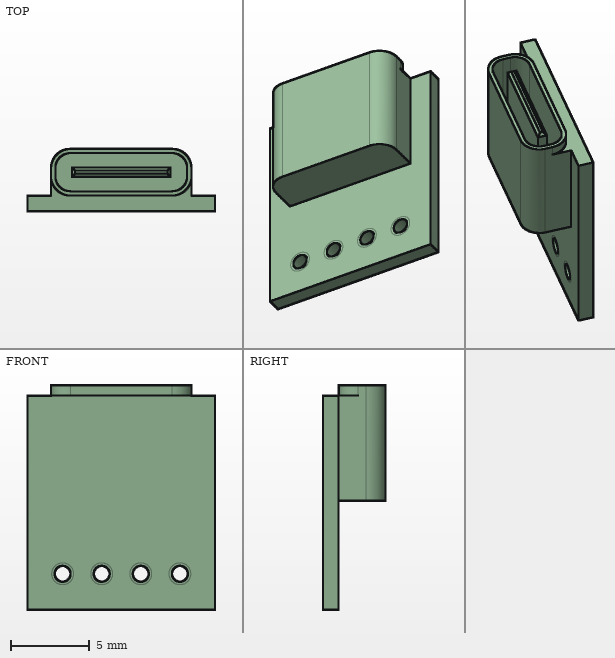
import cadquery as cq

BOARD_WIDTH = 12.0
BOARD_THICKNESS = 1.0
BOARD_HEIGHT = 13.7

HOLE_COUNT = 4
HOLE_PITCH = 2.5
HOLE_Z = 2.3
HOLE_DIAMETER = 1.0
PLATING_DIAMETER = 1.4

SHELL_WIDTH = 9.0
SHELL_DEPTH = 3.0
SHELL_RADIUS = 1.25
SHELL_LENGTH = 7.4
SHELL_OVERHANG = 0.66
SHELL_WALL = 0.28
CAVITY_DEPTH = 6.0

TONGUE_WIDTH = 6.3
TONGUE_THICKNESS = 0.6
TONGUE_CHAMFER = 0.2

SHELL_TOP = BOARD_HEIGHT + SHELL_OVERHANG
SHELL_BOTTOM = SHELL_TOP - SHELL_LENGTH
SHELL_CENTRE_Y = BOARD_THICKNESS + SHELL_DEPTH / 2
CAVITY_FLOOR = SHELL_TOP - CAVITY_DEPTH


def upright_block(width, depth, centre_y, bottom, top):
    """Box centred on X and on centre_y, spanning bottom to top in Z."""
    return (
        cq.Workplane("XY", origin=(0, centre_y, bottom))
        .rect(width, depth)
        .extrude(top - bottom)
    )


def make_hole_cylinders(diameter):
    """One cylinder through the board thickness for each hole."""
    first_x = -HOLE_PITCH * (HOLE_COUNT - 1) / 2
    centres = [(first_x + i * HOLE_PITCH, HOLE_Z) for i in range(HOLE_COUNT)]
    return (
        cq.Workplane("XZ")
        .pushPoints(centres)
        .circle(diameter / 2)
        .extrude(-BOARD_THICKNESS)
    )


def make_board():
    """Plain plate with its front face on Y = 0 and its lower edge on Z = 0."""
    return upright_block(BOARD_WIDTH, BOARD_THICKNESS, BOARD_THICKNESS / 2, 0, BOARD_HEIGHT)


def make_shell():
    """Rounded shell with its cavity; the corners next to the board are filled square."""
    shell = upright_block(SHELL_WIDTH, SHELL_DEPTH, SHELL_CENTRE_Y, SHELL_BOTTOM, SHELL_TOP)
    shell = shell.edges("|Z").fillet(SHELL_RADIUS)
    saddle = upright_block(
        SHELL_WIDTH,
        SHELL_RADIUS,
        BOARD_THICKNESS + SHELL_RADIUS / 2,
        SHELL_BOTTOM,
        BOARD_HEIGHT,
    )
    cavity = upright_block(
        SHELL_WIDTH - 2 * SHELL_WALL,
        SHELL_DEPTH - 2 * SHELL_WALL,
        SHELL_CENTRE_Y,
        CAVITY_FLOOR,
        SHELL_TOP,
    )
    cavity = cavity.edges("|Z").fillet(SHELL_RADIUS - SHELL_WALL)
    return shell.union(saddle).cut(cavity)


def make_tongue():
    """Bar rising from the cavity floor, chamfered around its upper face."""
    tongue = upright_block(
        TONGUE_WIDTH,
        TONGUE_THICKNESS,
        SHELL_CENTRE_Y,
        CAVITY_FLOOR,
        SHELL_TOP,
    )
    return tongue.faces(">Z").edges().chamfer(TONGUE_CHAMFER)


def make_platings():
    """Sleeves lining the holes, flush with both faces of the board."""
    return make_hole_cylinders(PLATING_DIAMETER).cut(make_hole_cylinders(HOLE_DIAMETER))


body = make_board().union(make_shell()).union(make_tongue())
body = body.cut(make_hole_cylinders(PLATING_DIAMETER))

result = body.union(make_platings(), clean=False)